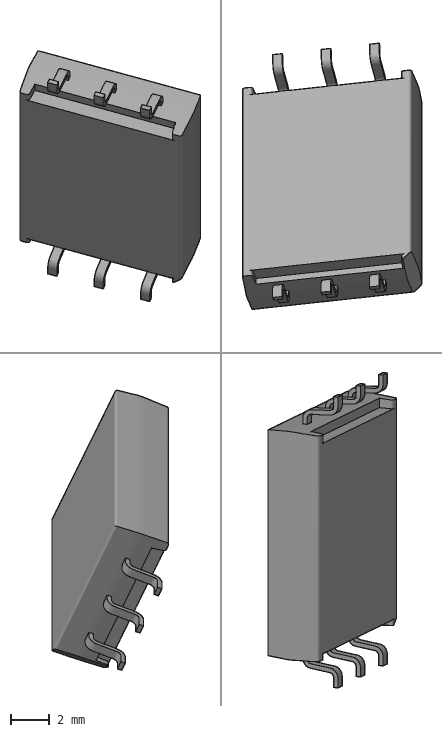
import cadquery as cq
import math

body_width = 9.0
body_height = 12.14
front_depth = 1.53
back_depth = 1.22
draft = 3.0
front_fillet = 0.15
back_fillet = 0.12
corner_chamfer = 0.6

overall_height = 15.46
lead_thickness = 0.25
lead_width = 0.5
lead_pitch = 2.54
lead_offsets = (-lead_pitch, 0.0, lead_pitch)
heel_straight = 0.31
bend_radius = 0.37
foot_slope = 5.0
toe_standoff = 0.25
lead_embed = 0.31

recess_width = 7.67
recess_depth = 0.75
top_recess_height = 0.54
bottom_recess_height = 0.4
recess_draft = 5.0
recess_fillet = 0.14

band_half = lead_thickness / 2
front_y = -band_half - front_depth
back_y = band_half + back_depth
half_height = body_height / 2


def drafted_block(start_y, depth, direction):
    """Block from the parting outline at start_y, tapering along direction (+1 or -1) in Y."""
    plane = cq.Plane(origin=(0, start_y, 0), xDir=(1, 0, 0), normal=(0, direction, 0))
    return cq.Workplane(plane).rect(body_width, body_height).extrude(depth, taper=draft)


def make_body():
    front = drafted_block(-band_half, front_depth, -1)
    front = front.faces("<Y").edges("<X or >X").fillet(front_fillet)
    back = drafted_block(band_half, back_depth, 1)
    back = back.faces(">Y").edges().fillet(back_fillet)
    band = cq.Workplane("XY").box(body_width, lead_thickness, body_height)
    return band.union(front).union(back)


def make_recess(end):
    """Cutter for the recess at the top (end = 1) or the bottom (end = -1)."""
    height = top_recess_height if end > 0 else bottom_recess_height
    floor_y = front_y + recess_depth
    half_floor = recess_width / 2
    slope = math.radians(recess_draft)
    half_mouth = half_floor + recess_depth * math.tan(slope)

    half_arc = (math.pi / 2 - slope) / 2
    setback = recess_fillet * math.tan(half_arc)
    wall_x = half_mouth - setback * math.sin(slope)
    wall_y = front_y + setback * math.cos(slope)
    face_x = half_mouth + setback
    centre_y = front_y + recess_fillet
    arc_x = face_x - recess_fillet * math.sin(half_arc)
    arc_y = centre_y - recess_fillet * math.cos(half_arc)

    profile = (
        cq.Workplane("XY", origin=(0, 0, half_height - height))
        .moveTo(-half_floor, floor_y)
        .lineTo(half_floor, floor_y)
        .lineTo(wall_x, wall_y)
        .threePointArc((arc_x, arc_y), (face_x, front_y))
        .lineTo(-face_x, front_y)
        .threePointArc((-arc_x, arc_y), (-wall_x, wall_y))
        .close()
    )
    cutter = profile.extrude(height)
    return cutter if end > 0 else cutter.mirror("XY")


def make_corner_cut():
    right = body_width / 2
    bottom = -half_height
    return (
        cq.Workplane("XZ", origin=(0, back_y, 0))
        .moveTo(right, bottom)
        .lineTo(right, bottom + corner_chamfer)
        .lineTo(right - corner_chamfer, bottom)
        .close()
        .extrude(back_y - front_y)
    )


def make_lead(x, end):
    """Lead at x, leaving the top (end = 1) or the bottom (end = -1)."""
    slope = math.radians(foot_slope)
    turn = math.pi / 2 - slope
    toe_y = front_y - toe_standoff + band_half

    bend_y = bend_radius * (1 - math.cos(turn))
    bend_z = bend_radius * math.sin(turn)
    half_y = bend_radius * (1 - math.cos(turn / 2))
    half_z = bend_radius * math.sin(turn / 2)

    start_z = half_height - lead_embed
    heel_z = half_height + heel_straight
    run_y = -bend_y
    run_z = heel_z + bend_z
    run_end_y = toe_y + bend_y
    run_end_z = run_z + (run_y - run_end_y) * math.tan(slope)
    toe_z = run_end_z + bend_z

    path = (
        cq.Workplane("YZ", origin=(x, 0, 0))
        .moveTo(0, start_z)
        .lineTo(0, heel_z)
        .threePointArc((-half_y, heel_z + half_z), (run_y, run_z))
        .lineTo(run_end_y, run_end_z)
        .threePointArc((toe_y + half_y, toe_z - half_z), (toe_y, toe_z))
        .lineTo(toe_y, overall_height / 2)
    )
    lead = cq.Workplane("XY", origin=(x, 0, start_z)).rect(lead_width, lead_thickness).sweep(path)
    return lead if end > 0 else lead.mirror("XY")


result = make_body().cut(make_corner_cut())
for end in (1, -1):
    result = result.cut(make_recess(end))
    for x in lead_offsets:
        result = result.union(make_lead(x, end))